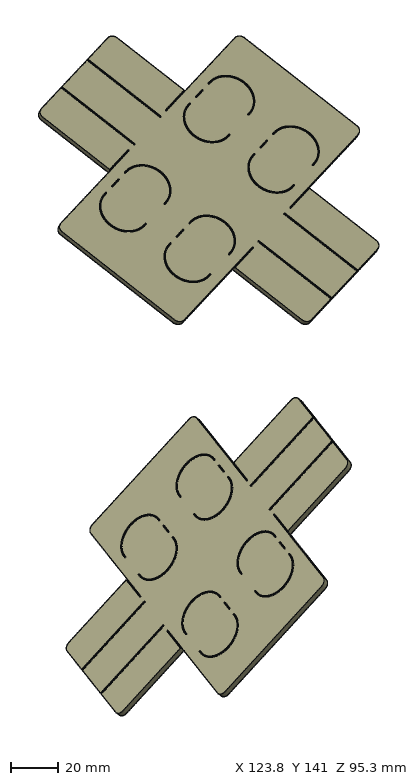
import cadquery as cq

thickness = 2.5
panel_width = 67.0
panel_length = 137.0
arm_span = 146.5
arm_width = 56.0
corner_radius = 3.0

groove_width = 0.5
groove_depth = 0.5
fold_line_offset = 9.75
root_groove_start = 14.0

oval_offset_x = 17.5
oval_offset_y = 31.5
oval_outer_radius = 11.0
oval_straight_half = 8.0
oval_gap_half = 7.0
oval_dash_length = 5.0

tilt_about_y = 33.34
tilt_about_x = 20.0

oval_inner_radius = oval_outer_radius - groove_width
groove_floor_z = thickness / 2 - groove_depth


def rounded_slab(size_x, size_y):
    return cq.Workplane("XY").box(size_x, size_y, thickness).edges("|Z").fillet(corner_radius)


def groove_box(x_min, x_max, y_min, y_max):
    """Straight groove from the groove floor up to the plate's upper face."""
    return (
        cq.Workplane("XY", origin=(0, 0, groove_floor_z))
        .moveTo((x_min + x_max) / 2, (y_min + y_max) / 2)
        .rect(x_max - x_min, y_max - y_min)
        .extrude(groove_depth)
    )


def arm_grooves():
    """Two fold lines along each arm and two grooves across each arm's root."""
    root_x = panel_width / 2
    fold_line = groove_box(
        root_x,
        arm_span / 2,
        fold_line_offset - groove_width / 2,
        fold_line_offset + groove_width / 2,
    )
    root_groove = groove_box(root_x, root_x + groove_width, root_groove_start, arm_width / 2)
    quarter = fold_line.union(root_groove)
    half = quarter.union(quarter.mirror("XZ"))
    return half.union(half.mirror("YZ"))


def stadium(radius):
    return (
        cq.Workplane("XY", origin=(0, 0, groove_floor_z))
        .slot2D(2 * (oval_straight_half + radius), 2 * radius, 90)
        .extrude(groove_depth)
    )


def oval_groove():
    """Oval ring without its middle stretch, plus a short dash in the left side."""
    ring = stadium(oval_outer_radius).cut(stadium(oval_inner_radius))
    middle = groove_box(-oval_outer_radius, oval_outer_radius, -oval_gap_half, oval_gap_half)
    dash = groove_box(
        -oval_outer_radius,
        -oval_inner_radius,
        -oval_dash_length / 2,
        oval_dash_length / 2,
    )
    return ring.cut(middle).union(dash)


plate = rounded_slab(panel_width, panel_length).union(rounded_slab(arm_span, arm_width))
plate = plate.cut(arm_grooves())
for x in (-oval_offset_x, oval_offset_x):
    for y in (-oval_offset_y, oval_offset_y):
        plate = plate.cut(oval_groove().translate((x, y, 0)))

tilted_plate = plate.rotate((0, 0, 0), (0, 1, 0), tilt_about_y)
result = tilted_plate.rotate((0, 0, 0), (1, 0, 0), tilt_about_x)